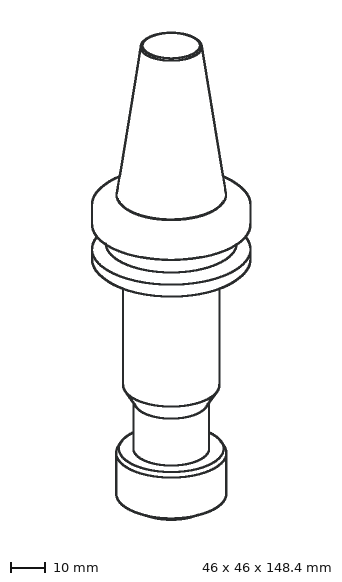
import cadquery as cq
import math


gauge_radius = 31.75 / 2
taper_length = 48.4
taper_ratio = 7 / 24
taper_tip_radius = gauge_radius - taper_length * taper_ratio / 2
tip_chamfer = 0.5

relief_depth = 0.5
relief_radius = gauge_radius - relief_depth

flange_radius = 46 / 2
flange_top = -2.0
flange_thickness = 20.0
flange_bottom = flange_top - flange_thickness
flange_chamfer = 1.0
flange_edge_fillet = 0.5
groove_root_radius = 38 / 2
groove_root_width = 4.1
groove_center = -13.6
groove_flank_angle = 26
groove_flank_height = (flange_radius - groove_root_radius) * math.tan(math.radians(groove_flank_angle))

body_radius = 28 / 2
body_bottom = -61.6
body_cone_bottom = -67.2

neck_radius = 22 / 2
neck_shoulder_width = 0.4
neck_top_radius = neck_radius - neck_shoulder_width
neck_shoulder_bottom = -69.0
neck_shoulder_fillet = 2.0

nose_bottom = -100.0
nut_radius = 32 / 2
nut_top = -82.2
nut_top_chamfer = 1.4
nut_top_chamfer_width = 0.8
nose_height = 3.2
nose_radius = 21.2 / 2


def revolve_profile(points):
    """Revolve a closed (radius, z) outline about the Z axis."""
    return cq.Workplane("XZ").polyline(points).close().revolve(360, (0, 0, 0), (0, 1, 0))


def make_taper():
    """Taper shank, chamfered at its small end."""
    shank = revolve_profile([
        (0, 0),
        (gauge_radius, 0),
        (taper_tip_radius, taper_length),
        (0, taper_length),
    ])
    return shank.faces(">Z").chamfer(tip_chamfer)


def make_flange():
    """Flange disc with chamfered, softened rims and the V groove cut around it."""
    flange_base = cq.Workplane("XY", origin=(0, 0, flange_bottom))
    disc = flange_base.circle(flange_radius).extrude(flange_thickness)
    disc = disc.faces("<Z or >Z").edges().chamfer(flange_chamfer)
    disc = disc.edges("%CIRCLE").fillet(flange_edge_fillet)
    root_top = groove_center + groove_root_width / 2
    root_bottom = groove_center - groove_root_width / 2
    groove = revolve_profile([
        (groove_root_radius, root_bottom),
        (groove_root_radius, root_top),
        (flange_radius, root_top + groove_flank_height),
        (flange_radius, root_bottom - groove_flank_height),
    ])
    return disc.cut(groove)


def make_relief():
    """Relief with a conical run-out under the taper and a quarter-round fillet onto the flange."""
    fillet_offset = relief_depth * (1 - math.sqrt(0.5))
    outline = (
        cq.Workplane("XZ")
        .lineTo(gauge_radius, 0)
        .lineTo(relief_radius, -relief_depth)
        .lineTo(relief_radius, flange_top + relief_depth)
        .threePointArc(
            (relief_radius + fillet_offset, flange_top + fillet_offset),
            (gauge_radius, flange_top),
        )
        .lineTo(0, flange_top)
        .close()
    )
    return outline.revolve(360, (0, 0, 0), (0, 1, 0))


def make_body():
    """Cylindrical body with a conical shoulder, and the neck flaring gently out below it."""
    body = revolve_profile([
        (0, flange_bottom),
        (body_radius, flange_bottom),
        (body_radius, body_bottom),
        (neck_top_radius, body_cone_bottom),
        (neck_radius, neck_shoulder_bottom),
        (neck_radius, nut_top),
        (0, nut_top),
    ])
    shoulder_edge = body.edges(cq.selectors.BoxSelector(
        (-body_radius, -body_radius, neck_shoulder_bottom - neck_shoulder_fillet / 2),
        (body_radius, body_radius, neck_shoulder_bottom + neck_shoulder_fillet / 2),
        boundingbox=True,
    ))
    return shoulder_edge.fillet(neck_shoulder_fillet)


def make_nut():
    """Clamping nut with a chamfered upper rim and a conical nose."""
    return revolve_profile([
        (0, nut_top),
        (nut_radius - nut_top_chamfer_width, nut_top),
        (nut_radius, nut_top - nut_top_chamfer),
        (nut_radius, nose_bottom + nose_height),
        (nose_radius, nose_bottom),
        (0, nose_bottom),
    ])


result = make_taper()
result = result.union(make_relief())
result = result.union(make_flange())
result = result.union(make_body())
result = result.union(make_nut())